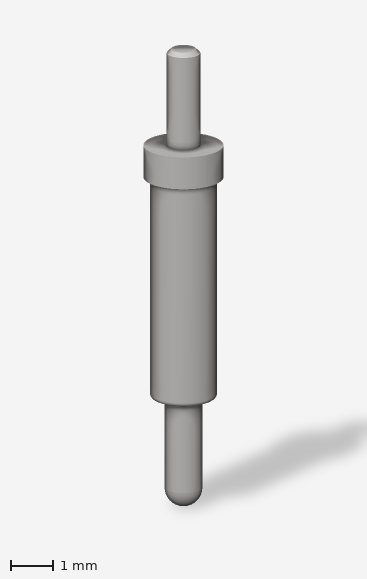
import cadquery as cq

total_length = 11.4
tail_length = 2.4
flange_length = 0.8
barrel_length = 5.5

tail_diameter = 0.8
flange_diameter = 1.9
barrel_diameter = 1.6
plunger_diameter = 0.9

tail_chamfer = 0.1
barrel_fillet = 0.1

flange_top = flange_length
tail_top = flange_top + tail_length
barrel_bottom = -barrel_length
plunger_tip = tail_top - total_length


def cylinder(diameter, bottom, top):
    """Solid cylinder on the Z axis between two levels."""
    return cq.Workplane("XY").workplane(offset=bottom).circle(diameter / 2).extrude(top - bottom)


def make_plunger():
    """Round pin with a hemispherical tip."""
    tip_radius = plunger_diameter / 2
    tip_centre = plunger_tip + tip_radius
    shank = cylinder(plunger_diameter, tip_centre, barrel_bottom)
    tip = cq.Workplane("XY").sphere(tip_radius).translate((0, 0, tip_centre))
    return shank.union(tip)


tail = cylinder(tail_diameter, flange_top, tail_top).faces(">Z").chamfer(tail_chamfer)
flange = cylinder(flange_diameter, 0, flange_top)
barrel = cylinder(barrel_diameter, barrel_bottom, 0).faces("<Z").edges().fillet(barrel_fillet)

result = barrel.union(flange).union(tail).union(make_plunger())